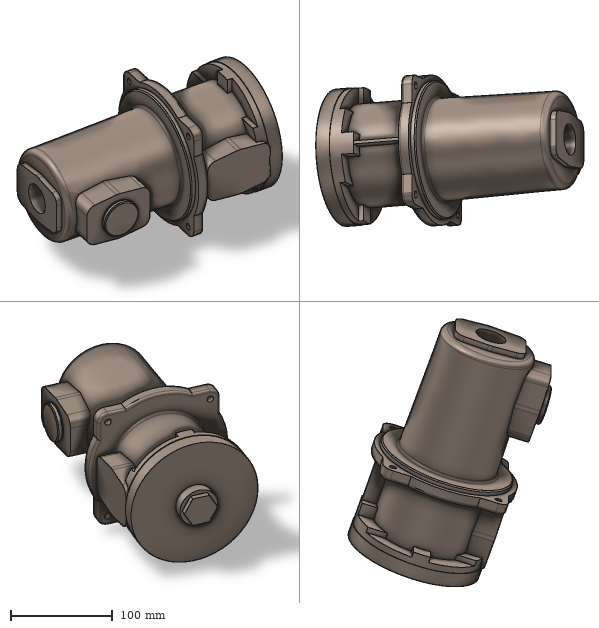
import cadquery as cq
import math

total_length = 258.5

bowl_face = 6.0
bowl_end_radius = 48.5
bowl_root_radius = 50.7
bowl_nose_round = 5.7
root_fillet = 2.5

spigot_face = 136.0
spigot_radius = 68.2
spigot_chamfer = 1.3
flange_front = 141.1
flange_back = 152.8
flange_radius = 74.05
flange_half_square = 65.0
flange_corner_round = 10.3
flange_rim_round = 2.8
bolt_offset = flange_half_square - flange_corner_round
bolt_hole_diameter = 6.7

neck_radius = 51.5
lug_face = 215.0
pocket_floor = 220.8
lid_front = 227.5
lid_back = 242.0
lid_radius = 67.7
collar_radius = 67.2
top_lug_half_width = 8.8
side_lug_half_height = 37.0

key_front = 202.1
key_half_width = 10.9
rib_half_width = 1.5
rib_radius = 66.5

stub_diameter = 40.0
cap_base = 252.8
cap_across_flats = 30.8

pad_half_length = 36.5
pad_half_width = 27.0
pad_end_half_width = 22.7
pad_crown_round = 20.7
pad_corner_round = 10.3
port_face = 67.5
port_root = 25.8
bowl_port_center = 52.2
head_port_center = 192.0

plug_end = 73.7
plug_diameter = 39.3
plug_chamfer = 1.0
plug_groove_width = 1.3
plug_groove_depth = 0.8

bore_diameter = 30.8
bore_floor_diameter = 26.4
bore_depth = 25.8
washer_diameter = 15.8
washer_height = 1.0
nut_across_flats = 13.0
nut_height = 5.2
pin_diameter = 7.0
pin_height = 2.5
pin_bore_diameter = 4.0


def along_y(start):
    """Sketch plane across the axis at Y = start; extrusions run towards +Y, local x is -X."""
    return cq.Workplane(cq.Plane(origin=(0, start, 0), xDir=(-1, 0, 0), normal=(0, 1, 0)))


def hexagon(across_flats):
    """Corner diameter of a hexagon with the given width across flats."""
    return across_flats / math.cos(math.pi / 6)


def pad(height):
    """Plate on the XY plane, long along X, with crowned long sides."""
    outline = [
        (-pad_half_length, -pad_end_half_width),
        (0, -pad_half_width),
        (pad_half_length, -pad_end_half_width),
        (pad_half_length, pad_end_half_width),
        (0, pad_half_width),
        (-pad_half_length, pad_end_half_width),
    ]
    plate = cq.Workplane("XY").polyline(outline).close().extrude(height)
    plate = plate.edges("|Z and (<X or >X)").fillet(pad_corner_round)
    return plate.edges("|Z and (<Y or >Y)").fillet(pad_crown_round)


def bowl():
    """Tapered, closed cup with a rounded nose and a rounded root at the flange spigot."""
    nose_flat = bowl_end_radius - bowl_nose_round
    nose_end = bowl_face + bowl_nose_round
    corner = bowl_nose_round * math.sqrt(0.5)
    root_end = spigot_face - root_fillet
    return (
        cq.Workplane("XY")
        .moveTo(0, bowl_face)
        .lineTo(nose_flat, bowl_face)
        .threePointArc((nose_flat + corner, nose_end - corner), (bowl_end_radius, nose_end))
        .lineTo(bowl_root_radius, root_end)
        .radiusArc((bowl_root_radius + root_fillet, spigot_face), root_fillet)
        .lineTo(bowl_root_radius + root_fillet, flange_front)
        .lineTo(0, flange_front)
        .close()
        .revolve(360, (0, 0), (0, 1))
    )


def port(center):
    """Side port block on the +X side, centred at the given station along Y."""
    block = pad(port_face - port_root)
    return block.rotate((0, 0, 0), (1, 1, 1), 120).translate((port_root, center, 0))


def flange():
    """Round flange merged with a square bolt plate, rounded at the back, with a front spigot."""
    thickness = flange_back - flange_front
    side = 2 * flange_half_square
    square = along_y(flange_front).rect(side, side).extrude(thickness)
    square = square.edges("|Y").fillet(flange_corner_round)
    plate = along_y(flange_front).circle(flange_radius).extrude(thickness).union(square)
    plate = plate.faces(">Y").edges().fillet(flange_rim_round)
    holes = (
        along_y(flange_front)
        .rect(2 * bolt_offset, 2 * bolt_offset, forConstruction=True)
        .vertices()
        .circle(bolt_hole_diameter / 2)
        .extrude(thickness)
    )
    spigot = along_y(spigot_face).circle(spigot_radius).extrude(flange_front - spigot_face)
    spigot = spigot.faces("<Y").edges().chamfer(spigot_chamfer)
    return plate.cut(holes).union(spigot)


def neck():
    """Plain cylinder between flange and collar, flared where it meets the flange."""
    flare_end = flange_back + root_fillet
    return (
        cq.Workplane("XY")
        .moveTo(0, flange_back)
        .lineTo(neck_radius + root_fillet, flange_back)
        .radiusArc((neck_radius, flare_end), root_fillet)
        .lineTo(neck_radius, lid_front)
        .lineTo(0, lid_front)
        .close()
        .revolve(360, (0, 0), (0, 1))
    )


def collar():
    """Disc behind the neck with four pockets, leaving lugs at the top, bottom and sides."""
    reach = 2 * collar_radius
    disc = along_y(lug_face).circle(collar_radius).extrude(lid_front - lug_face)
    for x_side in (-1, 1):
        for z_side in (-1, 1):
            pocket_x = x_side * (top_lug_half_width + reach / 2)
            pocket_z = z_side * (side_lug_half_height + reach / 2)
            pocket = along_y(lug_face).center(-pocket_x, pocket_z).rect(reach, reach)
            disc = disc.cut(pocket.extrude(pocket_floor - lug_face))
    return disc


def side_key():
    """Key under the collar on the -X side, following the collar rim."""
    length = lid_front - key_front
    disc = along_y(key_front).circle(collar_radius).extrude(length)
    strip = along_y(key_front).center(collar_radius, 0).rect(2 * collar_radius, 2 * key_half_width)
    return disc.intersect(strip.extrude(length))


def rib():
    """Thin rib on the -X side between the flange and the key."""
    web = along_y(flange_back).center(rib_radius / 2, 0).rect(rib_radius, 2 * rib_half_width)
    return web.extrude(key_front - flange_back)


def lid():
    """Rear lid with its stub and hexagonal cap."""
    plate = along_y(lid_front).circle(lid_radius).extrude(lid_back - lid_front)
    stub = along_y(lid_back).circle(stub_diameter / 2).extrude(cap_base - lid_back)
    cap = along_y(cap_base).polygon(6, hexagon(cap_across_flats)).extrude(total_length - cap_base)
    return plate.union(stub).union(cap)


def plug():
    """Round plug in the bowl port, grooved at the port face and chamfered at its end."""
    plane = cq.Workplane("YZ", origin=(port_face, bowl_port_center, 0))
    groove = plane.circle(plug_diameter / 2 - plug_groove_depth).extrude(plug_groove_width)
    head_length = plug_end - port_face - plug_groove_width
    head_plane = plane.workplane(offset=plug_groove_width)
    plug_head = head_plane.circle(plug_diameter / 2).extrude(head_length)
    return groove.union(plug_head.faces(">X").edges().chamfer(plug_chamfer))


def bore():
    """Tapered blind bore in the front pad."""
    return (
        along_y(0)
        .circle(bore_diameter / 2)
        .workplane(offset=bore_depth)
        .circle(bore_floor_diameter / 2)
        .loft()
    )


def valve_screw():
    """Washer, nut and drilled pin, stacked forwards from the bore floor."""
    washer = along_y(bore_depth).circle(washer_diameter / 2).extrude(-washer_height)
    nut_base = bore_depth - washer_height
    nut = along_y(nut_base).polygon(6, hexagon(nut_across_flats)).extrude(-nut_height)
    pin_base = nut_base - nut_height
    pin = along_y(pin_base).circle(pin_diameter / 2).circle(pin_bore_diameter / 2).extrude(-pin_height)
    return washer.union(nut).union(pin)


front_pad = pad(bowl_face).rotate((0, 0, 0), (1, 0, 0), 90).translate((0, bowl_face, 0))
ported_bowl = bowl().union(port(bowl_port_center))
ported_bowl = ported_bowl.union(front_pad).cut(bore()).union(valve_screw())

head = neck().union(collar()).union(side_key()).union(port(head_port_center)).union(rib()).union(lid())

result = ported_bowl.union(flange()).union(head).union(plug())